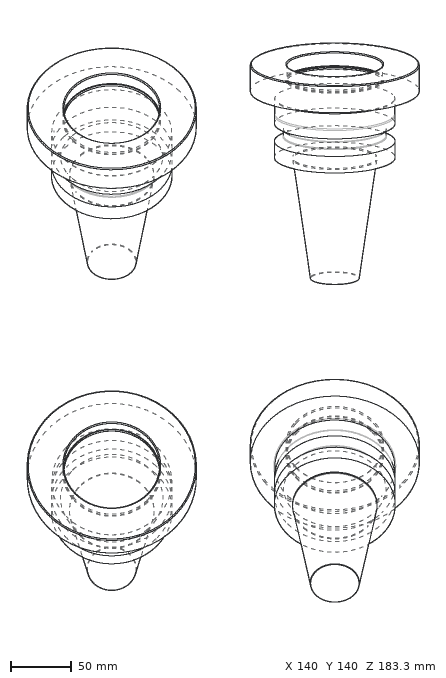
import cadquery as cq
import math

tip_radius = 20.3
tip_chamfer = 0.4
taper_length = 101.7
taper_top_radius = 34.8

collar_radius = 35.0
collar_height = 1.6
collar_chamfer_height = 0.5

flange_radius = 50.0
flange_bottom = taper_length + collar_height
flange_top = 139.7
groove_centre = 125.0
groove_mouth_width = 15.0
groove_radius = 42.5
groove_flank_angle = 30.0
groove_fillet = 1.0
groove_depth = flange_radius - groove_radius
groove_flank_height = groove_depth * math.tan(math.radians(groove_flank_angle))
groove_mouth_bottom = groove_centre - groove_mouth_width / 2
groove_mouth_top = groove_centre + groove_mouth_width / 2
groove_floor_bottom = groove_mouth_bottom + groove_flank_height
groove_floor_top = groove_mouth_top - groove_flank_height

neck_step = 0.4
neck_step_height = 1.3
neck_radius = flange_radius - neck_step
neck_top = 154.7
neck_fillet = 1.1

total_height = 183.3
head_radius = 70.0
head_rim_bottom = 160.2
head_chamfer = 1.0

pocket_radius = 39.6
pocket_depth = 14.5
pocket_chamfer = 1.0
relief_depth = 1.0
relief_wall_height = 1.0
pocket_floor = total_height - pocket_depth
relief_bottom = pocket_floor + relief_depth
relief_top = relief_bottom + relief_wall_height


def revolve_profile(points):
    """Turn a closed (radius, height) outline around the Z axis."""
    return cq.Workplane("XZ").polyline(points).close().revolve(360, (0, 0, 0), (0, 1, 0))


def fillet_circle(solid, height, radius):
    """Round the circular edges lying at the given height."""
    tolerance = 0.02
    edges = [e for e in solid.edges("%CIRCLE").vals() if abs(e.Center().z - height) < tolerance]
    return solid.newObject(edges).fillet(radius)


def make_body():
    """Shank, collar, grooved flange, neck and head as one turned solid."""
    body = revolve_profile([
        (0, 0),
        (tip_radius - tip_chamfer, 0),
        (tip_radius, tip_chamfer),
        (taper_top_radius, taper_length),
        (collar_radius, taper_length + collar_chamfer_height),
        (collar_radius, flange_bottom),
        (flange_radius, flange_bottom),
        (flange_radius, groove_mouth_bottom),
        (groove_radius, groove_floor_bottom),
        (groove_radius, groove_floor_top),
        (flange_radius, groove_mouth_top),
        (flange_radius, flange_top),
        (neck_radius, flange_top + neck_step_height),
        (neck_radius, neck_top),
        (head_radius, head_rim_bottom),
        (head_radius, total_height - head_chamfer),
        (head_radius - head_chamfer, total_height),
        (0, total_height),
    ])
    body = fillet_circle(body, groove_floor_bottom, groove_fillet)
    body = fillet_circle(body, groove_floor_top, groove_fillet)
    return fillet_circle(body, neck_top, neck_fillet)


def make_pocket():
    """Volume removed from the head: chamfered mouth, straight wall and bevelled relief groove."""
    return revolve_profile([
        (0, pocket_floor),
        (pocket_radius, pocket_floor),
        (pocket_radius + relief_depth, relief_bottom),
        (pocket_radius + relief_depth, relief_top),
        (pocket_radius, relief_top + relief_depth),
        (pocket_radius, total_height - pocket_chamfer),
        (pocket_radius + pocket_chamfer, total_height),
        (0, total_height),
    ])


result = make_body().cut(make_pocket())